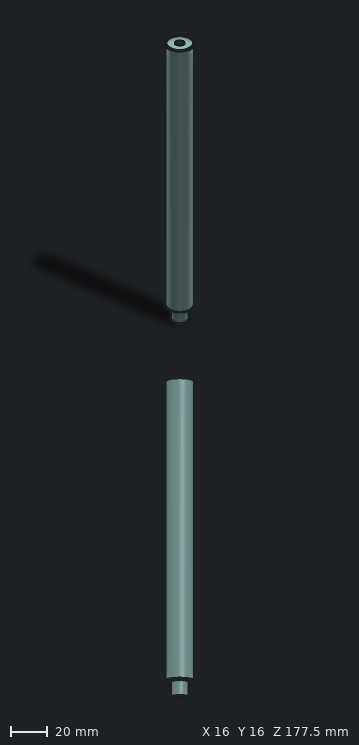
import cadquery as cq

total_length = 177.5
body_diameter = 16.0
spigot_diameter = 10.0
spigot_length = 9.4

body_chamfer = 0.5
spigot_chamfer = 0.9

bore_diameter = 5.0
bore_depth = 20.0
through_diameter = 3.7

body_length = total_length - spigot_length


def make_body():
    """Long round bar with both end edges chamfered."""
    bar = cq.Workplane("XY").workplane(offset=spigot_length)
    bar = bar.circle(body_diameter / 2).extrude(body_length)
    return bar.faces("<Z or >Z").edges().chamfer(body_chamfer)


def make_spigot():
    """Locating spigot below the bar, with a lead-in chamfer."""
    spigot = cq.Workplane("XY").circle(spigot_diameter / 2).extrude(spigot_length)
    return spigot.faces("<Z").edges().chamfer(spigot_chamfer)


def make_bore():
    """Stepped hole along the axis, open at both ends."""
    through_hole = cq.Workplane("XY").circle(through_diameter / 2).extrude(total_length)
    wide_hole = cq.Workplane("XY").workplane(offset=total_length)
    wide_hole = wide_hole.circle(bore_diameter / 2).extrude(-bore_depth)
    return through_hole.union(wide_hole)


result = make_body().union(make_spigot()).cut(make_bore())